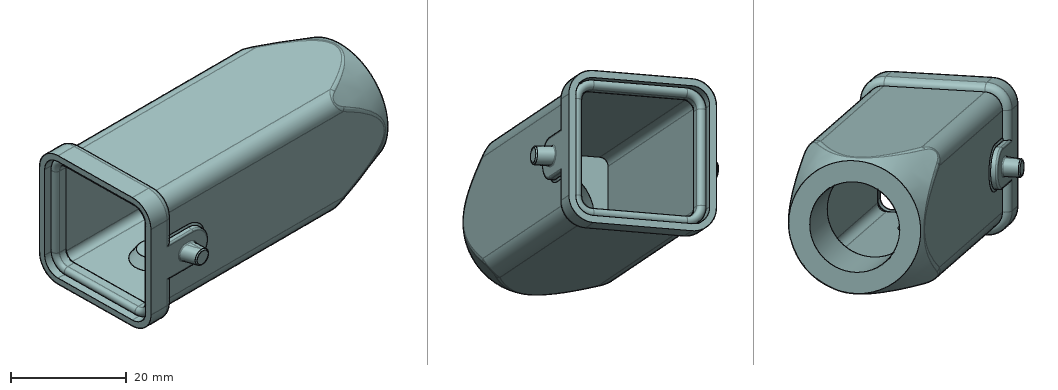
import cadquery as cq
import math

length = 60.0
body_width = 24.25
body_corner = 3.1
wall = 1.55

flange_width = 27.0
flange_height = 5.35
flange_edge_radius = 1.4
flange_corner = body_corner + (flange_width - body_width) / 2

cone_end_radius = 11.75
cone_slope = 0.32
cone_edge_radius = 1.2

cavity_width = body_width - 2 * wall
cavity_corner = 1.5
cavity_depth = 48.0
cable_hole_diameter = 16.0

rim_thickness = 1.25
rebate_width = flange_width - 2 * rim_thickness
rebate_corner = flange_corner - rim_thickness
rebate_depth = 3.55
seal_front = 1.1
seal_overhang = 0.03
seal_thickness = (rebate_width - cavity_width) / 2 + seal_overhang
seal_line_width = rebate_width - seal_thickness
seal_inner_corner = 2.0
seal_line_corner = seal_inner_corner + seal_thickness / 2

lug_half_width = 3.7
lug_centre_y = 10.4
lug_edge_radius = 0.35
lug_height = (flange_width - body_width) / 2
lug_foot_width = 0.5
lug_foot_height = 0.2

pin_radius = 1.6
pin_y = 9.5
pin_root_shift = 1.1
pin_span = 33.4
pin_tip_x = pin_span / 2
pin_tip_chamfer = 0.25
pin_root_radius = 0.2

boss_y = 14.05
boss_base_radius = 4.1
boss_top_radius = 2.75
boss_height = 1.9


def rounded_bar(width, corner, start, end):
    """Square bar along Y with rounded long edges."""
    bar = cq.Workplane("XZ", origin=(0, start, 0)).rect(width, width).extrude(start - end)
    return bar.edges("|Y").fillet(corner)


def make_body():
    """Square bar whose far end is trimmed by a cone."""
    bar = rounded_bar(body_width, body_corner, 0, length)
    cone = (
        cq.Workplane("XY")
        .lineTo(cone_end_radius + cone_slope * length, 0)
        .lineTo(cone_end_radius, length)
        .lineTo(0, length)
        .close()
        .revolve(360, (0, 0, 0), (0, 1, 0))
    )
    trimmed = bar.intersect(cone)
    return trimmed.edges("not (|Y or <Y or >Y)").fillet(cone_edge_radius)


def make_flange():
    """Wider collar around the mouth, rounded on its rear edge."""
    flange = rounded_bar(flange_width, flange_corner, 0, flange_height)
    return flange.faces(">Y").edges().fillet(flange_edge_radius)


def lug_outline(half_width):
    """Outline on the +X side of the body, square at the mouth and round at the rear."""
    return (
        cq.Workplane("YZ", origin=(body_width / 2, 0, 0))
        .moveTo(0, -half_width)
        .lineTo(lug_centre_y, -half_width)
        .threePointArc((lug_centre_y + half_width, 0), (lug_centre_y, half_width))
        .lineTo(0, half_width)
        .close()
    )


def make_lug():
    """Round-ended pad on the +X side, level with the flange."""
    pad = lug_outline(lug_half_width).extrude(lug_height)
    pad = pad.faces(">X").edges(">Y or |Y").fillet(lug_edge_radius)
    foot_slope = math.degrees(math.atan2(lug_foot_width, lug_foot_height))
    foot = lug_outline(lug_half_width + lug_foot_width).extrude(lug_foot_height, taper=foot_slope)
    return pad.union(foot)


def make_pin():
    """Pin on the +X side: straight at the back, its root spread toward the mouth."""
    root_x = flange_width / 2 - lug_edge_radius
    pin_length = pin_tip_x - root_x
    straight = cq.Workplane("YZ", origin=(root_x, pin_y, 0)).circle(pin_radius).extrude(pin_length)
    straight = straight.faces(">X").chamfer(pin_tip_chamfer)
    chamfer_x = pin_tip_x - pin_tip_chamfer
    leaning = (
        cq.Workplane("YZ", origin=(root_x, pin_y - pin_root_shift, 0))
        .circle(pin_radius)
        .workplane(offset=chamfer_x - root_x)
        .center(pin_root_shift, 0)
        .circle(pin_radius)
        .loft(ruled=True)
    )
    web = (
        cq.Workplane("XY", origin=(0, 0, -pin_radius))
        .polyline([(root_x, pin_y), (root_x, pin_y - pin_root_shift), (chamfer_x, pin_y)])
        .close()
        .extrude(2 * pin_radius)
    )
    return straight.union(leaning).union(web)


def make_seal():
    """Ring in the rebate with a half-round front, swept around a rounded square."""
    half_line = seal_line_width / 2
    nose_radius = seal_thickness / 2
    nose_y = seal_front + nose_radius
    outer_z = half_line + nose_radius
    inner_z = half_line - nose_radius
    section = (
        cq.Workplane("YZ")
        .moveTo(rebate_depth, inner_z)
        .lineTo(nose_y, inner_z)
        .threePointArc((seal_front, half_line), (nose_y, outer_z))
        .lineTo(rebate_depth, outer_z)
        .close()
    )
    bend = half_line - seal_line_corner
    path = (
        cq.Workplane("XZ")
        .moveTo(0, half_line)
        .lineTo(bend, half_line)
        .radiusArc((half_line, bend), seal_line_corner)
        .lineTo(half_line, -bend)
        .radiusArc((bend, -half_line), seal_line_corner)
        .lineTo(-bend, -half_line)
        .radiusArc((-half_line, -bend), seal_line_corner)
        .lineTo(-half_line, bend)
        .radiusArc((-bend, half_line), seal_line_corner)
        .close()
    )
    return section.sweep(path)


def make_boss():
    """Cone frustum standing on the -Z wall of the cavity."""
    base_centre = cq.Vector(0, boss_y, -cavity_width / 2)
    boss = cq.Solid.makeCone(boss_base_radius, boss_top_radius, boss_height, base_centre)
    return cq.Workplane(boss)


def round_pin_roots(shell):
    """Round the inner corner where each pin meets its lug."""
    reach = pin_radius + 2 * pin_root_radius
    margin = pin_root_radius / 2
    for side in (-1, 1):
        lug_face_x = side * flange_width / 2
        pin_root = cq.selectors.BoxSelector(
            (lug_face_x - margin, pin_y - pin_root_shift - reach, -reach),
            (lug_face_x + margin, pin_y + reach, reach),
            boundingbox=True,
        )
        shell = shell.edges(pin_root).fillet(pin_root_radius)
    return shell


lug = make_lug()
pin = make_pin()
outside = make_body().union(make_flange())
for fitting in (lug, pin):
    outside = outside.union(fitting).union(fitting.mirror("YZ"))
outside = round_pin_roots(outside)

cable_hole = cq.Workplane("XZ").circle(cable_hole_diameter / 2).extrude(-length)
hollow = (
    outside.cut(rounded_bar(cavity_width, cavity_corner, 0, cavity_depth))
    .cut(rounded_bar(rebate_width, rebate_corner, 0, rebate_depth))
    .cut(cable_hole)
)
result = hollow.union(make_seal()).union(make_boss())